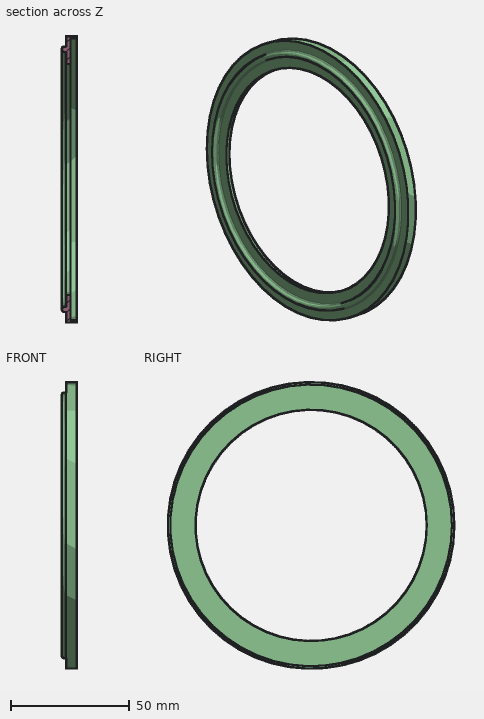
import cadquery as cq
import math

outer_diameter = 121.2
bore_diameter = 97.6
overall_thickness = 6.4

bead_outer_diameter = 112.4
bead_inner_diameter = 107.6
bead_height = 1.9
root_fillet = 0.4

web_thickness = 1.9
recess_diameter = 119.0

outer_radius = outer_diameter / 2
bore_radius = bore_diameter / 2
recess_radius = recess_diameter / 2
bead_outer_radius = bead_outer_diameter / 2
bead_inner_radius = bead_inner_diameter / 2
bead_center_radius = (bead_outer_radius + bead_inner_radius) / 2
crown_radius = (bead_outer_radius - bead_inner_radius) / 2

back_x = overall_thickness / 2
crest_x = -overall_thickness / 2
face_x = crest_x + bead_height
web_back_x = face_x + web_thickness
crown_x = crest_x + crown_radius
fillet_x = face_x - root_fillet
fillet_mid_offset = root_fillet * (1 - math.sqrt(0.5))


def ring_section():
    """Half section in the XY plane, with X axial and Y radial."""
    fillet_mid_x = face_x - fillet_mid_offset
    return (
        cq.Workplane("XY")
        .moveTo(web_back_x, bore_radius)
        .lineTo(face_x, bore_radius)
        .lineTo(face_x, bead_inner_radius - root_fillet)
        .threePointArc(
            (fillet_mid_x, bead_inner_radius - fillet_mid_offset),
            (fillet_x, bead_inner_radius),
        )
        .lineTo(crown_x, bead_inner_radius)
        .threePointArc((crest_x, bead_center_radius), (crown_x, bead_outer_radius))
        .lineTo(fillet_x, bead_outer_radius)
        .threePointArc(
            (fillet_mid_x, bead_outer_radius + fillet_mid_offset),
            (face_x, bead_outer_radius + root_fillet),
        )
        .lineTo(face_x, outer_radius)
        .lineTo(back_x, outer_radius)
        .lineTo(back_x, recess_radius)
        .lineTo(web_back_x, recess_radius)
        .close()
    )


full_turn = 360
result = ring_section().revolve(full_turn, (0, 0, 0), (1, 0, 0))